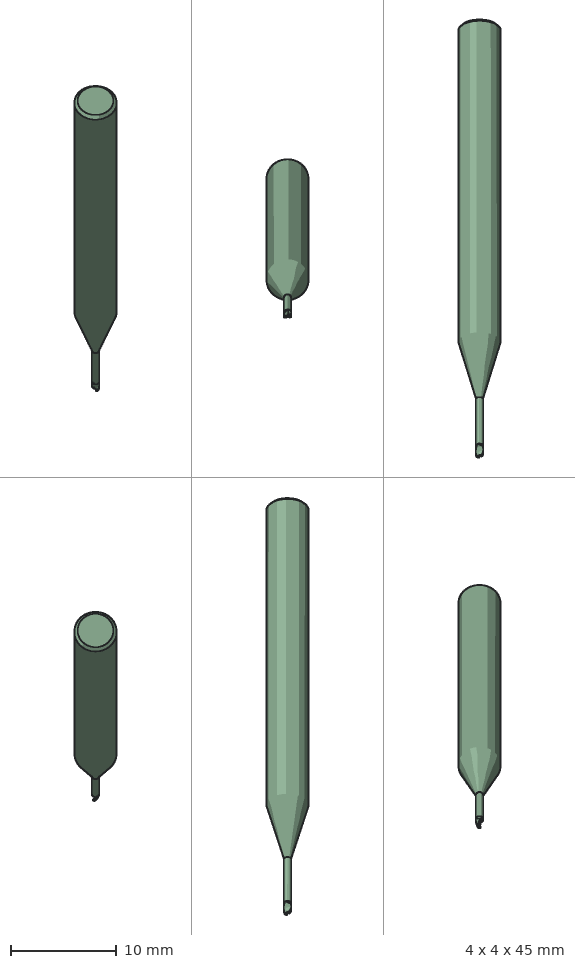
import cadquery as cq

total_length = 45.0
shank_diameter = 4.0
shank_chamfer = 0.3
cone_top = 12.05
cone_foot_diameter = 0.68

neck_diameter = 0.7
neck_top = 6.08

head_length = 1.2
web_thickness = 0.2
flute_twist = 90.0
tip_angle = 20.0
corner_radius = 0.2
end_notch_width = 0.25
end_notch_depth = 0.15


def make_shank():
    """Chamfered shank tapering to the neck, turned about Z."""
    shank_radius = shank_diameter / 2
    return (
        cq.Workplane("XZ")
        .moveTo(0, neck_top)
        .lineTo(cone_foot_diameter / 2, neck_top)
        .lineTo(shank_radius, cone_top)
        .lineTo(shank_radius, total_length - shank_chamfer)
        .lineTo(shank_radius - shank_chamfer, total_length)
        .lineTo(0, total_length)
        .close()
        .revolve(360, (0, 0, 0), (0, 1, 0))
    )


def make_head():
    """Two-flute right-hand twisted head with rounded corners and a notched end."""
    envelope = (
        cq.Workplane("XY")
        .circle(neck_diameter / 2)
        .extrude(head_length)
        .faces("<Z")
        .edges()
        .fillet(corner_radius)
    )
    blade_width = 2 * neck_diameter
    twisted_blade = (
        cq.Workplane("XY")
        .rect(blade_width, web_thickness)
        .twistExtrude(head_length, flute_twist)
    )
    end_notch = cq.Workplane("XY").box(end_notch_width, blade_width, 2 * end_notch_depth)
    head = envelope.intersect(twisted_blade).cut(end_notch)
    return head.rotate((0, 0, 0), (0, 0, 1), tip_angle)


def make_cutter():
    """Round neck and fluted head in one piece."""
    neck = (
        cq.Workplane("XY")
        .workplane(offset=head_length)
        .circle(neck_diameter / 2)
        .extrude(neck_top - head_length)
    )
    return neck.union(make_head())


shank = make_shank()
cutter = make_cutter()

result = cq.Compound.makeCompound([shank.val(), *cutter.solids().vals()])